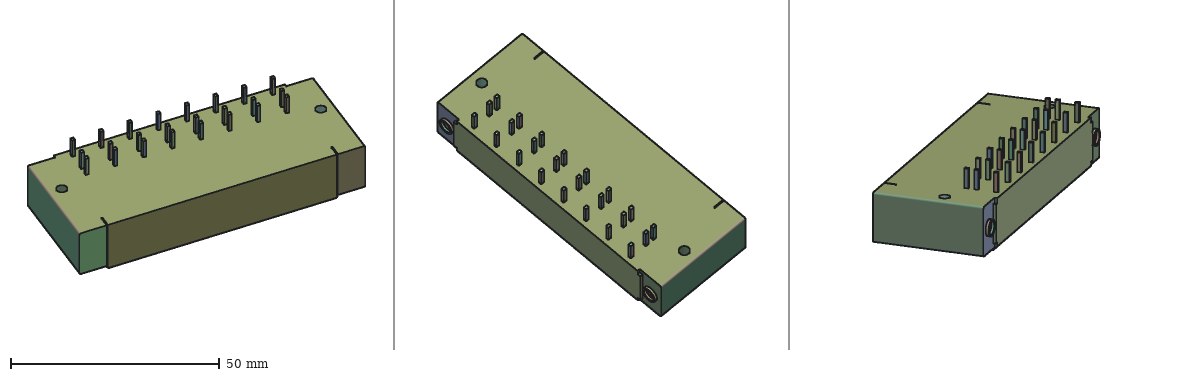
import cadquery as cq

LENGTH_X = 29.25
TOTAL_WIDTH = 76.2
PIN_HEIGHT = 5.0
OVERALL_HEIGHT = 19.29

BODY_WIDTH = 61.6
BODY_HEIGHT = 13.5
FRONT_CHAMFER = 1.2
SIDE_CHAMFER = 0.5
SIDE_CHAMFER_START_X = 13.5

CAP_FRONT_X = 0.75
CAP_HEIGHT = 12.7
CAP_EDGE_RADIUS = 0.5
CAP_MID_Z = -CAP_HEIGHT / 2

EAR_REACH = 0.95
EAR_HEIGHT = 10.0

BUSHING_Y = 34.6
BUSHING_DIAMETER = 4.2
BUSHING_BORE = 3.2
SCREW_HOLE_DIAMETER = 2.8
BUSHING_BORE_DEPTH = 0.75
SCREW_HOLE_DEPTH = 3.0

MOUNT_HOLE_X = 12.15
MOUNT_HOLE_Y = 34.5
MOUNT_HOLE_DIAMETER = 2.7
MOUNT_HOLE_DEPTH = 10.0

LIP_WIDTH = 58.3
LIP_LENGTH = 3.1
LIP_BOTTOM_Z = PIN_HEIGHT - OVERALL_HEIGHT

GAP_LENGTH = 3.1
GAP_WIDTH = 0.3

PIN_SIZE_X = 1.0
PIN_SIZE_Y = 0.8
PIN_PITCH_X = 2.54
PIN_PITCH_Y = 7.62
PIN_ROWS = 8
FIRST_PIN_X = 1.9
PIN_COLUMNS_X = [FIRST_PIN_X, FIRST_PIN_X + 2 * PIN_PITCH_X, FIRST_PIN_X + 3 * PIN_PITCH_X]


def block(x_min, x_max, y_mid, y_size, z_min, z_max):
    """Axis-aligned box, centred on y_mid."""
    box = cq.Workplane("XY").box(x_max - x_min, y_size, z_max - z_min, centered=(False, True, False))
    return box.translate((x_min, y_mid, z_min))


def rod_along_x(x_min, x_max, y, diameter):
    """Round rod parallel to X at the mid height of the caps."""
    rod = cq.Workplane("YZ").circle(diameter / 2).extrude(x_max - x_min)
    return rod.translate((x_min, y, CAP_MID_Z))


def make_body():
    """Body with a chamfered front bottom edge, chamfered rear bottom sides and two front ears."""
    front_section = block(0, SIDE_CHAMFER_START_X, 0, BODY_WIDTH, -BODY_HEIGHT, 0)
    front_section = front_section.edges("<X and <Z").chamfer(FRONT_CHAMFER)
    rear_section = block(SIDE_CHAMFER_START_X, LENGTH_X, 0, BODY_WIDTH, -BODY_HEIGHT, 0)
    rear_section = rear_section.faces("<Z").edges("|X").chamfer(SIDE_CHAMFER)
    ears = block(
        0, CAP_FRONT_X, 0, BODY_WIDTH + 2 * EAR_REACH,
        CAP_MID_Z - EAR_HEIGHT / 2, CAP_MID_Z + EAR_HEIGHT / 2,
    )
    return front_section.union(rear_section).union(ears)


def make_caps():
    """One bar across the full width; its ends beyond the body are the two caps."""
    caps = block(CAP_FRONT_X, LENGTH_X, 0, TOTAL_WIDTH, -CAP_HEIGHT, 0)
    return caps.edges("|X").fillet(CAP_EDGE_RADIUS)


def make_lip():
    """Wedge that tapers to nothing at the rear edge."""
    profile = cq.Workplane("XZ").polyline([
        (LENGTH_X - LIP_LENGTH, -BODY_HEIGHT),
        (LENGTH_X - LIP_LENGTH, LIP_BOTTOM_Z),
        (LENGTH_X, -BODY_HEIGHT),
    ]).close()
    return profile.extrude(LIP_WIDTH / 2, both=True)


def add_pins(part):
    """Rectangular contact pins on the top face, three per row."""
    for row in range(PIN_ROWS):
        y = (row - (PIN_ROWS - 1) / 2) * PIN_PITCH_Y
        for x in PIN_COLUMNS_X:
            part = part.union(block(x - PIN_SIZE_X / 2, x + PIN_SIZE_X / 2, y, PIN_SIZE_Y, 0, PIN_HEIGHT))
    return part


def add_cap_details(part, side):
    """Bushing, holes and rear relief gap of the cap on one side (+1 or -1)."""
    bushing_y = side * BUSHING_Y
    part = part.union(rod_along_x(0, CAP_FRONT_X, bushing_y, BUSHING_DIAMETER))
    part = part.cut(rod_along_x(0, BUSHING_BORE_DEPTH, bushing_y, BUSHING_BORE))
    part = part.cut(rod_along_x(0, SCREW_HOLE_DEPTH, bushing_y, SCREW_HOLE_DIAMETER))

    mount_hole = cq.Workplane("XY").circle(MOUNT_HOLE_DIAMETER / 2).extrude(-MOUNT_HOLE_DEPTH)
    part = part.cut(mount_hole.translate((MOUNT_HOLE_X, side * MOUNT_HOLE_Y, 0)))

    gap_y = side * (BODY_WIDTH - GAP_WIDTH) / 2
    return part.cut(block(LENGTH_X - GAP_LENGTH, LENGTH_X, gap_y, GAP_WIDTH, -CAP_HEIGHT, 0))


result = add_pins(make_body().union(make_caps()).union(make_lip()))
for cap_side in (1, -1):
    result = add_cap_details(result, cap_side)